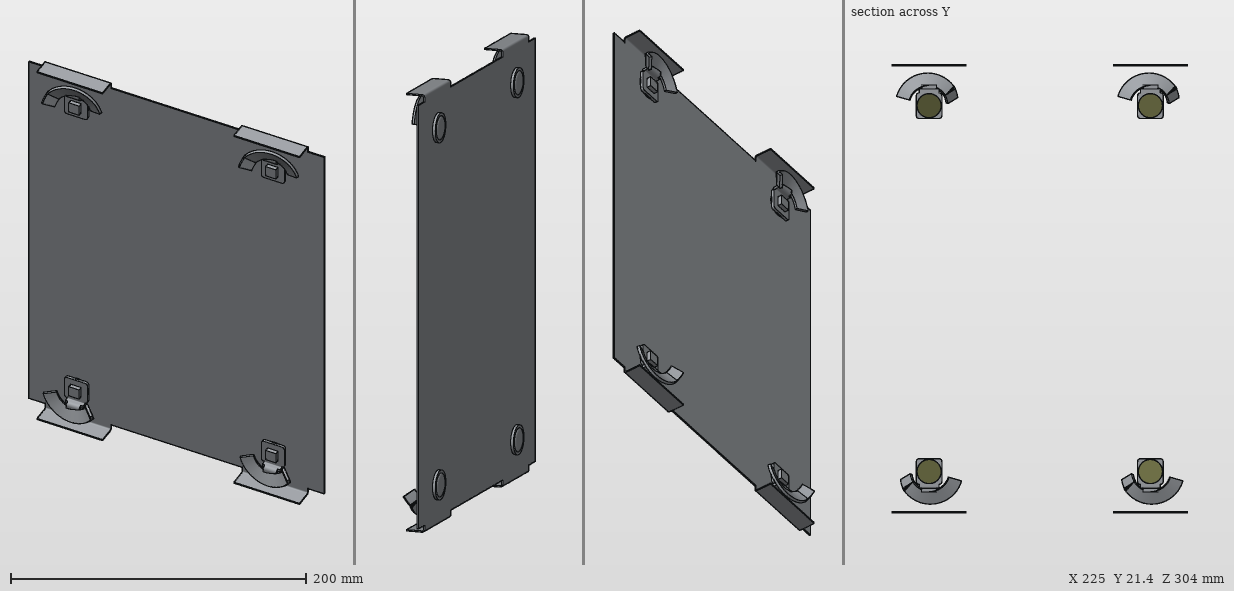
import cadquery as cq
import math

PLATE_W = 225.0
PLATE_T = 1.0
OVERALL_H = 304.0
TAB_RISE = 5.0
PLATE_H = OVERALL_H - 2 * TAB_RISE
TAB_W = 50.0
TAB_DEPTH = 12.2
BEND_R_OUT = 2.0
BEND_R_IN = BEND_R_OUT - PLATE_T

LATCH_X = 75.0
LATCH_Z = 124.0

DISC_D = 20.5
DISC_T = 2.0
CROWN_D = 16.5
CROWN_TOP_D = 12.0
CROWN_H = 1.0

SHEET_T = 2.0
SHANK_D = 16.5
PAD_GAP = 1.0
PAD_FRONT = PAD_GAP + SHEET_T
PAD_SIDE = 17.5
PAD_CORNER_R = 2.0
BOSS_SIDE = 8.0
BOSS_H = 3.0
ARM_W = PAD_SIDE - 2 * PAD_CORNER_R
ARM_INNER_R = 0.6
ARM_BOTTOM = PAD_SIDE / 2 + ARM_INNER_R
ARM_TOP = ARM_BOTTOM + SHEET_T
ARM_BEND_R = 1.0
ARM_REACH = 5.5
NECK_W = 10.0
NECK_BEND_R = 2.5
NECK_FRONT = ARM_REACH + NECK_BEND_R
NECK_TOP = 14.0

WING_R_IN = 13.6
WING_R_OUT = 22.2
WING_Y_IN = -6.0
WING_SLOPE = 24.0
WING_TILT = 5.5
WING_PLAIN_END = 16.5
CREASE_ANGLE = 149.0
TIP_SWEEP = 17.0
TIP_AXIS_SHIFT = 10.0
TIP_BEND = 30.7


def make_plate():
    """Flat sheet with a tab bent toward -Y at each latch position."""
    plate = cq.Workplane("XY").box(PLATE_W, PLATE_T, PLATE_H).translate((0, PLATE_T / 2, 0))
    half_h = OVERALL_H / 2
    root = PLATE_H / 2 - TAB_RISE
    tab = (
        cq.Workplane("YZ")
        .moveTo(PLATE_T, root)
        .lineTo(PLATE_T, half_h - BEND_R_OUT)
        .radiusArc((PLATE_T - BEND_R_OUT, half_h), -BEND_R_OUT)
        .lineTo(-TAB_DEPTH, half_h)
        .lineTo(-TAB_DEPTH, half_h - PLATE_T)
        .lineTo(PLATE_T - BEND_R_OUT, half_h - PLATE_T)
        .radiusArc((0, half_h - BEND_R_OUT), BEND_R_IN)
        .lineTo(0, root)
        .close()
        .extrude(TAB_W / 2, both=True)
    )
    for turn in (0, 180):
        for side in (-1, 1):
            turned_tab = tab.rotate((0, 0, 0), (0, 1, 0), turn)
            plate = plate.union(turned_tab.translate((side * LATCH_X, 0, 0)))
    return plate


def make_button():
    """Stepped round button on the back face of the plate, centred on the hub axis."""
    disc = cq.Workplane("XZ", origin=(0, PLATE_T, 0)).circle(DISC_D / 2).extrude(-DISC_T)
    rim = (CROWN_D - CROWN_TOP_D) / 2
    rim_r = (rim**2 + CROWN_H**2) / (2 * CROWN_H)
    crown = (
        cq.Workplane("XY", origin=(0, PLATE_T + DISC_T, 0))
        .lineTo(CROWN_D / 2, 0)
        .radiusArc((CROWN_TOP_D / 2, CROWN_H), -rim_r)
        .lineTo(0, CROWN_H)
        .close()
        .revolve(360, (0, 0, 0), (0, 1, 0))
    )
    return disc.union(crown)


def make_wing():
    """Wing round the hub axis, the plain end on the +X side and the finger tip on the -X side."""
    slope = math.radians(WING_SLOPE)
    length = (WING_R_OUT - WING_R_IN) / math.cos(slope)
    inner = cq.Vector(WING_R_IN, WING_Y_IN)
    along = cq.Vector(math.cos(slope), -math.sin(slope))
    forward = cq.Vector(-math.sin(slope), -math.cos(slope))
    outer = inner + along * length
    corners = [inner, outer, outer + forward * SHEET_T, inner + forward * SHEET_T]
    section = cq.Workplane("XY").polyline([(c.x, c.y) for c in corners]).close()
    sweep = CREASE_ANGLE - WING_PLAIN_END
    blade = section.revolve(sweep, (0, 0, 0), (0, 1, 0))
    tip = section.toPending().revolve(TIP_SWEEP, (-TIP_AXIS_SHIFT, 0, 0), (-TIP_AXIS_SHIFT, -1, 0))
    tip = tip.rotate(inner.toTuple(), (inner + cq.Vector(1, 0)).toTuple(), TIP_BEND)
    wing = blade.union(tip).rotate((0, 0, 0), (0, 1, 0), -CREASE_ANGLE)
    return wing.rotate((0, 0, 0), (0, 0, 1), WING_TILT)


def make_latch():
    """Pad, boss, bent arm and dished wing in one piece, with the hub axis along Y."""
    shank = cq.Workplane("XZ").circle(SHANK_D / 2).extrude(PAD_GAP)
    pad = (
        cq.Workplane("XZ", origin=(0, -PAD_GAP, 0))
        .rect(PAD_SIDE, PAD_SIDE)
        .extrude(SHEET_T)
        .edges("|Y")
        .fillet(PAD_CORNER_R)
    )
    boss = cq.Workplane("XZ", origin=(0, -PAD_FRONT, 0)).rect(BOSS_SIDE, BOSS_SIDE).extrude(BOSS_H)
    arm = (
        cq.Workplane("YZ")
        .moveTo(-PAD_GAP, 0)
        .lineTo(-PAD_GAP, ARM_TOP - ARM_BEND_R)
        .radiusArc((-PAD_GAP - ARM_BEND_R, ARM_TOP), -ARM_BEND_R)
        .lineTo(-ARM_REACH, ARM_TOP)
        .lineTo(-ARM_REACH, ARM_BOTTOM)
        .lineTo(-PAD_FRONT - ARM_INNER_R, ARM_BOTTOM)
        .radiusArc((-PAD_FRONT, ARM_BOTTOM - ARM_INNER_R), ARM_INNER_R)
        .lineTo(-PAD_FRONT, 0)
        .close()
        .extrude(ARM_W / 2, both=True)
    )
    neck = (
        cq.Workplane("YZ")
        .moveTo(-ARM_REACH, ARM_BOTTOM)
        .radiusArc((-NECK_FRONT, ARM_BOTTOM + NECK_BEND_R), NECK_BEND_R)
        .lineTo(-NECK_FRONT, NECK_TOP)
        .lineTo(SHEET_T - NECK_FRONT, NECK_TOP)
        .lineTo(SHEET_T - NECK_FRONT, ARM_TOP)
        .lineTo(-ARM_REACH, ARM_TOP)
        .close()
        .extrude(NECK_W / 2, both=True)
    )
    latch = shank.union(pad).union(boss).union(arm).union(neck)
    return latch.union(make_wing())


def place(body):
    """Four copies of a body; the lower pair is turned half round about Y."""
    placed = []
    for turn in (0, 180):
        for side in (-1, 1):
            copy = body.rotate((0, 0, 0), (0, 1, 0), turn)
            height = LATCH_Z if turn == 0 else -LATCH_Z
            placed.append(copy.translate((side * LATCH_X, 0, height)).val())
    return placed


plate = make_plate()
latches = place(make_latch())
buttons = place(make_button())
result = cq.Compound.makeCompound([plate.val(), *latches, *buttons])